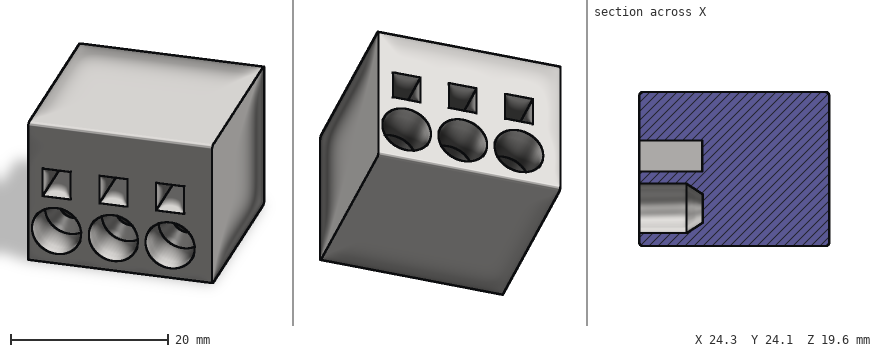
import cadquery as cq

WIDTH = 24.3
DEPTH = 24.15
HEIGHT = 19.6
EDGE_RADIUS = 0.5

POLE_COUNT = 3
POLE_PITCH = 7.5
FIRST_POLE_X = 3.75

ENTRY_Z = 4.8
ENTRY_DIAMETER = 6.5
ENTRY_FLOOR_DIAMETER = 4.0
MOUTH_DEPTH = 6.0
FUNNEL_DEPTH = 2.05

RELEASE_WIDTH = 3.7
RELEASE_HEIGHT = 3.9
RELEASE_Z = 11.45
RELEASE_DEPTH = 8.0


def make_housing():
    """Block with its front at Y = 0 and its four X-running edges rounded."""
    block = cq.Workplane("XY").box(WIDTH, DEPTH, HEIGHT, centered=False)
    return block.edges("|X").fillet(EDGE_RADIUS)


def make_wire_entry(pole_x):
    """Round bore along +Y, revolved from its half profile."""
    mouth_radius = ENTRY_DIAMETER / 2
    floor_radius = ENTRY_FLOOR_DIAMETER / 2
    floor_y = MOUTH_DEPTH + FUNNEL_DEPTH
    half_profile = (
        cq.Workplane("XY")
        .moveTo(0, 0)
        .lineTo(mouth_radius, 0)
        .lineTo(mouth_radius, MOUTH_DEPTH)
        .lineTo(floor_radius, floor_y)
        .lineTo(0, floor_y)
        .close()
    )
    bore = half_profile.revolve(360, (0, 0, 0), (0, 1, 0))
    return bore.translate((pole_x, 0, ENTRY_Z))


def make_release_opening(pole_x):
    """Rectangular pocket running along +Y from the front face."""
    pocket = cq.Workplane("XY").box(
        RELEASE_WIDTH, RELEASE_DEPTH, RELEASE_HEIGHT, centered=(True, False, True)
    )
    return pocket.translate((pole_x, 0, RELEASE_Z))


result = make_housing()
for pole in range(POLE_COUNT):
    pole_x = FIRST_POLE_X + pole * POLE_PITCH
    result = result.cut(make_wire_entry(pole_x))
    result = result.cut(make_release_opening(pole_x))